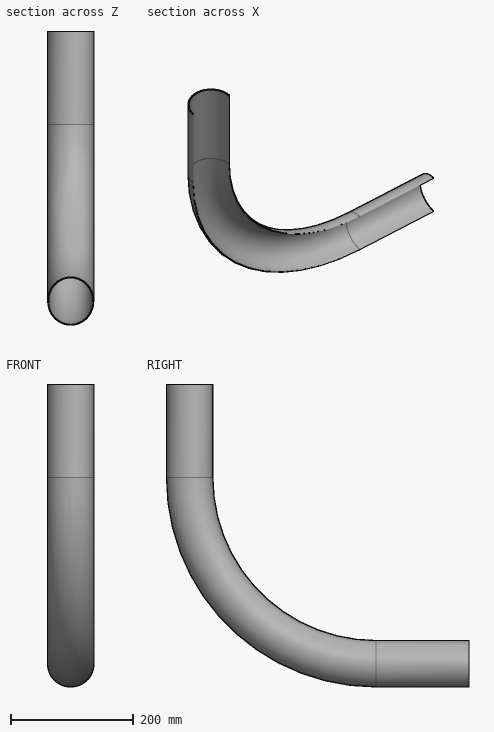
import cadquery as cq
import math

overall_size = 495.5
outer_diameter = 76.5
inner_diameter = 72.0
straight_length = 2 * outer_diameter

outer_radius = outer_diameter / 2
leg_reach = overall_size - outer_radius
bend_radius = leg_reach - straight_length
arc_mid_offset = bend_radius * (1 - math.cos(math.radians(45)))

centreline = (
    cq.Workplane("YZ")
    .moveTo(0, leg_reach)
    .lineTo(0, bend_radius)
    .threePointArc((arc_mid_offset, arc_mid_offset), (bend_radius, 0))
    .lineTo(leg_reach, 0)
)

result = (
    cq.Workplane("XY", origin=(0, 0, leg_reach))
    .circle(outer_radius)
    .circle(inner_diameter / 2)
    .sweep(centreline)
)